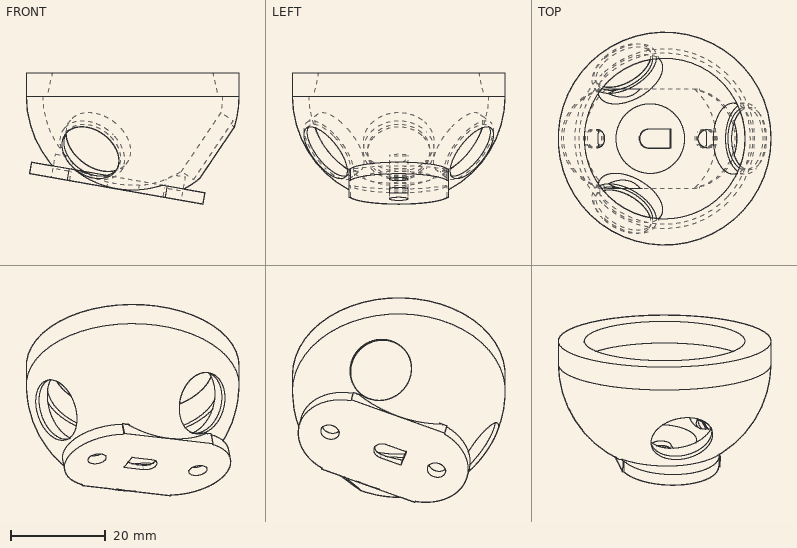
import cadquery as cq
import math

OUTER_RADIUS = 22.5
CAVITY_RADIUS = 19.0
RIM_HEIGHT = 5.0
RIM_OVERLAP = 0.2
RIM_TOP_RADIUS = 16.95
RIM_BOTTOM_RADIUS = 18.1

WINDOW_COUNT = 3
WINDOW_TILT = 34.0
WINDOW_RADIUS = 13.2 / 2
WINDOW_LENGTH = 27.0
SEAT_RADIUS = 15.0 / 2
SEAT_DISTANCE = 20.55

BASE_TILT = 10.0
BASE_BOTTOM = 20.0
BASE_THICKNESS = 2.48
BASE_WIDTH = 21.0
EAR_RADIUS = BASE_WIDTH / 2
EAR_OFFSET = 8.1

PEG_DIAMETER = 3.9
PEG_OFFSET = 11.95
PEG_HEIGHT = 5.0
HOLE_DIAMETER = 3.9
HOLE_DEPTH = 2.0

SLOT_WIDTH = 4.0
SLOT_SQUARE_END = 4.65

tilt = math.radians(BASE_TILT)
BASE_X_DIRECTION = (math.cos(tilt), 0, -math.sin(tilt))
BASE_NORMAL = (math.sin(tilt), 0, math.cos(tilt))


def base_workplane():
    """Workplane on the tilted underside of the base, with its normal pointing into the bowl."""
    origin = tuple(-BASE_BOTTOM * component for component in BASE_NORMAL)
    return cq.Workplane(cq.Plane(origin=origin, xDir=BASE_X_DIRECTION, normal=BASE_NORMAL))


def lower_hemisphere(radius):
    """Solid half ball below the XY plane."""
    return (
        cq.Workplane("XZ")
        .lineTo(radius, 0)
        .radiusArc((0, -radius), radius)
        .close()
        .revolve(360, (0, 0), (0, 1))
    )


def make_rim():
    """Ring with a conical opening."""
    top = RIM_HEIGHT - RIM_OVERLAP
    profile = [
        (RIM_BOTTOM_RADIUS, -RIM_OVERLAP),
        (OUTER_RADIUS, -RIM_OVERLAP),
        (OUTER_RADIUS, top),
        (RIM_TOP_RADIUS, top),
    ]
    return cq.Workplane("XZ").polyline(profile).close().revolve(360, (0, 0), (0, 1))


def make_window(index):
    """Stepped cutter for one window: a through bore and a wider seat on the cavity side."""
    bore = cq.Workplane("YZ").circle(WINDOW_RADIUS).extrude(WINDOW_LENGTH)
    seat = cq.Workplane("YZ").circle(SEAT_RADIUS).extrude(SEAT_DISTANCE)
    return (
        bore.union(seat)
        .rotate((0, 0, 0), (0, 1, 0), WINDOW_TILT)
        .rotate((0, 0, 0), (0, 0, 1), index * 360 / WINDOW_COUNT)
    )


def make_base_blank():
    """Foot plate, ears and pegs before anything is cut away."""
    blank = base_workplane().rect(BASE_WIDTH, BASE_WIDTH).extrude(BASE_THICKNESS)
    for side in (-1, 1):
        ear = base_workplane().center(side * EAR_OFFSET, 0).circle(EAR_RADIUS).extrude(BASE_THICKNESS)
        peg = base_workplane().center(side * PEG_OFFSET, 0).circle(PEG_DIAMETER / 2).extrude(PEG_HEIGHT)
        blank = blank.union(ear).union(peg)
    return blank


def make_slot():
    """Cutter for the slot."""
    half_width = SLOT_WIDTH / 2
    return (
        base_workplane()
        .moveTo(0, -half_width)
        .lineTo(SLOT_SQUARE_END, -half_width)
        .lineTo(SLOT_SQUARE_END, half_width)
        .lineTo(0, half_width)
        .threePointArc((-half_width, 0), (0, -half_width))
        .close()
        .extrude(BASE_THICKNESS)
    )


def make_peg_holes():
    """Cutters for the blind holes below the pegs."""
    return (
        base_workplane()
        .pushPoints([(-PEG_OFFSET, 0), (PEG_OFFSET, 0)])
        .circle(HOLE_DIAMETER / 2)
        .extrude(HOLE_DEPTH)
    )


def make_bowl(cavity, windows, base_blank):
    """Shell and rim, flat below, with a recess that the base fills."""
    below_base = base_workplane().circle(OUTER_RADIUS).extrude(-OUTER_RADIUS)
    shell = lower_hemisphere(OUTER_RADIUS).cut(cavity).cut(below_base).cut(base_blank)
    bowl = shell.union(make_rim())
    for window in windows:
        bowl = bowl.cut(window)
    return bowl


def make_base(cavity, windows, base_blank):
    """Base, trimmed flush with the cavity and with the window bores."""
    base = base_blank.cut(cavity).cut(make_slot()).cut(make_peg_holes())
    for window in windows:
        base = base.cut(window)
    return base


cavity = lower_hemisphere(CAVITY_RADIUS)
windows = [make_window(index) for index in range(WINDOW_COUNT)]
base_blank = make_base_blank()

bowl = make_bowl(cavity, windows, base_blank)
base = make_base(cavity, windows, base_blank)

result = cq.Compound.makeCompound([bowl.val(), base.val()])